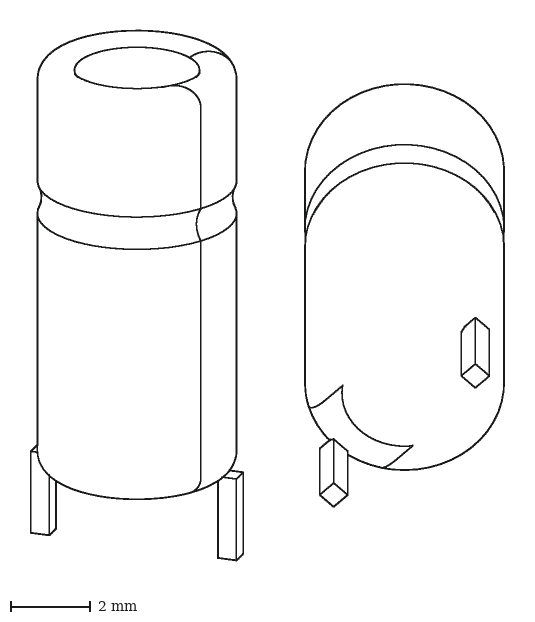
import cadquery as cq
import math

can_diameter = 5.0
can_radius = can_diameter / 2
can_bottom = 2.0
can_top = 13.0
rim_round = 0.5

groove_height = 0.87
groove_center = can_top - 3.67
groove_depth = 0.1

crest_radius = can_radius - rim_round
disc_drop = 0.25
disc_thickness = 0.1
disc_radius = crest_radius - math.sqrt(rim_round**2 - (rim_round - disc_drop) ** 2)

stripe_width = can_diameter / 2

lead_side = 0.5
lead_spacing = can_diameter
lead_entry = 0.2
lead_length = can_bottom + lead_entry


def make_can_blank():
    """Revolved can outline with rounded ends, a groove and a rolled top rim."""
    diagonal = rim_round * math.sqrt(0.5)
    disc_top = can_top - disc_drop
    pocket_floor = disc_top - disc_thickness
    curl_angle = math.acos((rim_round - disc_drop) / rim_round) / 2
    curl_middle = (
        crest_radius - rim_round * math.sin(curl_angle),
        can_top - rim_round + rim_round * math.cos(curl_angle),
    )
    return (
        cq.Workplane("XZ")
        .moveTo(0, can_bottom)
        .lineTo(crest_radius, can_bottom)
        .threePointArc(
            (crest_radius + diagonal, can_bottom + rim_round - diagonal),
            (can_radius, can_bottom + rim_round),
        )
        .lineTo(can_radius, groove_center - groove_height / 2)
        .threePointArc(
            (can_radius - groove_depth, groove_center),
            (can_radius, groove_center + groove_height / 2),
        )
        .lineTo(can_radius, can_top - rim_round)
        .threePointArc(
            (crest_radius + diagonal, can_top - rim_round + diagonal),
            (crest_radius, can_top),
        )
        .threePointArc(curl_middle, (disc_radius, disc_top))
        .lineTo(disc_radius, pocket_floor)
        .lineTo(0, pocket_floor)
        .close()
        .revolve(360, (0, 0, 0), (0, 1, 0))
    )


def make_stripe_region():
    """Full-height band on the +X side, outside the disc radius."""
    band = cq.Workplane("XY").box(can_radius, stripe_width, can_top, centered=(False, True, False))
    core = cq.Workplane("XY").circle(disc_radius).extrude(can_top)
    return band.cut(core)


def make_top_disc():
    """Disc seated in the pocket, sunk below the crest of the rim."""
    disc_bottom = can_top - disc_drop - disc_thickness
    return cq.Workplane("XY").workplane(offset=disc_bottom).circle(disc_radius).extrude(disc_thickness)


def make_lead(x):
    """Square lead whose upper end is let into the rounded bottom edge."""
    return (
        cq.Workplane("XY")
        .box(lead_side, lead_side, lead_length, centered=(True, True, False))
        .translate((x, 0, 0))
    )


leads = []
for side in (-1, 1):
    leads.append(make_lead(side * lead_spacing / 2))

blank = make_can_blank()
for lead in leads:
    blank = blank.cut(lead)

stripe_region = make_stripe_region()
stripe = blank.intersect(stripe_region)
can = blank.cut(stripe_region)

top_disc = make_top_disc()

result = cq.Compound.makeCompound(
    [can.val(), stripe.val(), top_disc.val(), *[lead.val() for lead in leads]]
)